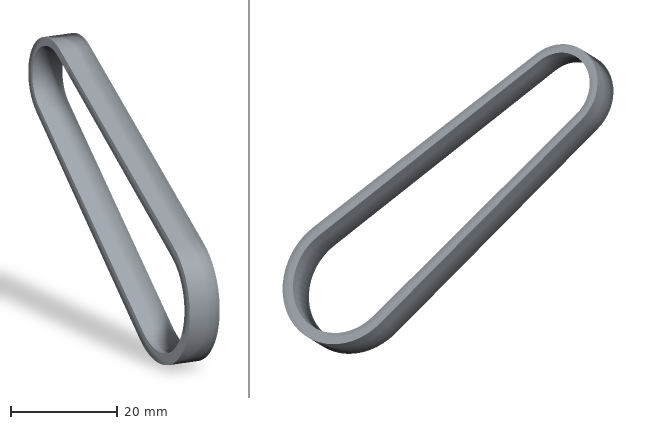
import cadquery as cq
import math

length = 67.3
height = 52.05
width = 6.3

small_outer_radius = 8.8
small_inner_radius = 7.15
large_outer_radius = 12.9
large_inner_radius = 10.7

small_center = (small_outer_radius - length / 2, height / 2 - small_outer_radius)
large_center = (length / 2 - large_outer_radius, large_outer_radius - height / 2)


def point_on_circle(center, radius, angle):
    return (center[0] + radius * math.cos(angle), center[1] + radius * math.sin(angle))


def tapered_loop(small_radius, large_radius):
    """Solid bounded by two round ends and their common outer tangents."""
    run = large_center[0] - small_center[0]
    rise = large_center[1] - small_center[1]
    axis_angle = math.atan2(rise, run)
    spread = math.acos((small_radius - large_radius) / math.hypot(run, rise))
    upper = axis_angle + spread
    lower = axis_angle - spread
    return (
        cq.Workplane("XZ")
        .moveTo(*point_on_circle(small_center, small_radius, upper))
        .lineTo(*point_on_circle(large_center, large_radius, upper))
        .threePointArc(
            point_on_circle(large_center, large_radius, axis_angle),
            point_on_circle(large_center, large_radius, lower),
        )
        .lineTo(*point_on_circle(small_center, small_radius, lower))
        .threePointArc(
            point_on_circle(small_center, small_radius, axis_angle + math.pi),
            point_on_circle(small_center, small_radius, upper),
        )
        .close()
        .extrude(width / 2, both=True)
    )


outer_body = tapered_loop(small_outer_radius, large_outer_radius)
opening = tapered_loop(small_inner_radius, large_inner_radius)
result = outer_body.cut(opening)